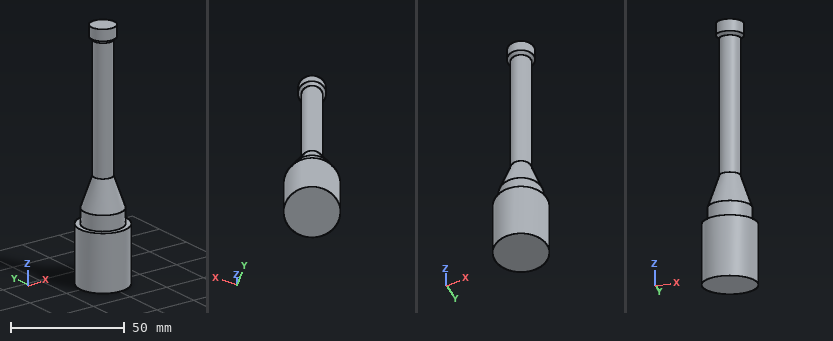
import cadquery as cq

base_diameter = 25.0
collar_diameter = 20.0
shaft_diameter = 9.5
head_diameter = 12.5

total_height = 122.0
base_height = 28.3
collar_height = 7.6
cone_height = 15.1
head_height = 5.6
head_taper_height = 1.5

collar_top = base_height + collar_height
cone_top = collar_top + cone_height
head_bottom = total_height - head_height
shaft_top = head_bottom - head_taper_height

profile = [
    (0, 0),
    (base_diameter / 2, 0),
    (base_diameter / 2, base_height),
    (collar_diameter / 2, base_height),
    (collar_diameter / 2, collar_top),
    (shaft_diameter / 2, cone_top),
    (shaft_diameter / 2, shaft_top),
    (head_diameter / 2, head_bottom),
    (head_diameter / 2, total_height),
    (0, total_height),
]

result = cq.Workplane("XZ").polyline(profile).close().revolve(360, (0, 0, 0), (0, 1, 0))